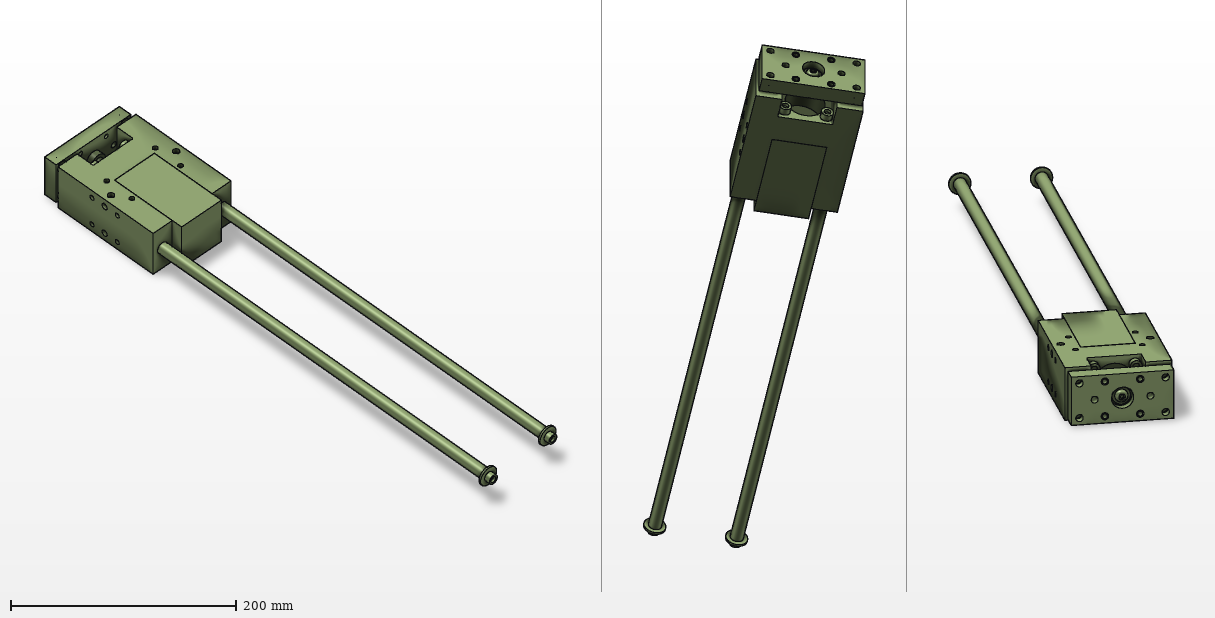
import cadquery as cq
import math

FULL_TURN = 360

OVERALL_LENGTH = 559.0

HOUSING_START = 19.0
HOUSING_LENGTH = 120.5
HOUSING_WIDTH = 97.0
HOUSING_HEIGHT = 50.0
HOUSING_END = HOUSING_START + HOUSING_LENGTH

BLOCK_LENGTH = 85.0
BLOCK_WIDTH = 49.5
BLOCK_HEIGHT = 50.5
BLOCK_OVERHANG = 12.0
BLOCK_END = HOUSING_END + BLOCK_OVERHANG
PORT_DIAMETER = 4.5
PORT_DEPTH = 4.0
PORT_OFFSET = 1.0
PORT_X = HOUSING_END + PORT_OFFSET
PORT_Z = -20.5

RECESS_DEPTH = 20.5
RECESS_WIDTH = BLOCK_WIDTH
RECESS_FILLET = 1.0
RECESS_FLOOR = HOUSING_START + RECESS_DEPTH
PISTON_BORE = 36.0
PISTON_BORE_DEPTH = 20.0

SCREW_HEAD_DIAMETER = 11.0
SCREW_HEAD_HEIGHT = 6.5
SCREW_SOCKET_DIAMETER = 6.0
SCREW_SOCKET_DEPTH = 3.0
SCREW_Y = 19.0
SCREW_Z = 16.0

HOLES_X = 78.0
HOLE_PITCH = 16.0
HOLE_DEPTH = 5.0
THREAD_DIAMETER = 5.0
DOWEL_DIAMETER = 6.5
TOP_DOWEL_Y = 40.5
TOP_THREAD_Y = 30.25
SIDE_HOLE_Z = 16.25

PLATE_THICKNESS = 14.5
PLATE_WIDTH = 93.0
PLATE_HEIGHT = 46.0
CORNER_HOLE_DIAMETER = 6.6
CORNER_COUNTERBORE_DIAMETER = 11.0
CORNER_COUNTERBORE_DEPTH = 7.0
CORNER_HOLE_Y = 39.0
INNER_HOLE_DIAMETER = 4.5
INNER_COUNTERBORE_DIAMETER = 6.6
INNER_COUNTERBORE_DEPTH = 0.5
INNER_HOLE_Y = 16.0
PLATE_HOLE_Z = 16.5
PIN_HOLE_DIAMETER = 6.2
PIN_HOLE_Y = 25.25
PLATE_BORE_DIAMETER = 20.0
PLATE_BORE_DEPTH = 7.5

COLLAR_DIAMETER = 17.0
COLLAR_LENGTH = 6.5
STUD_DIAMETER = 10.0
STUD_LENGTH = 8.0
COUPLING_WASHER_DIAMETER = 17.0
COUPLING_WASHER_THICKNESS = 1.5
BUTTON_HEAD_DIAMETER = 12.0
BUTTON_HEAD_HEIGHT = 4.0
BUTTON_TOP_DIAMETER = 6.0
HEXAGON_SIDES = 6
BUTTON_SOCKET_DIAMETER = 4.0
BUTTON_SOCKET_DEPTH = 2.5

ROD_DIAMETER = 12.0
ROD_Y = 37.0
WASHER_DIAMETER = 20.0
WASHER_THICKNESS = 2.0
END_SCREW_DIAMETER = 10.0
END_SCREW_HEIGHT = 6.0
END_SOCKET_DIAMETER = 6.0
END_SOCKET_DEPTH = 3.0
WASHER_END = OVERALL_LENGTH - END_SCREW_HEIGHT
ROD_END = WASHER_END - WASHER_THICKNESS


def box(x_start, length, width, z_bottom, height):
    """Block centred on Y that starts at x_start and stands on z_bottom."""
    return cq.Workplane(origin=(x_start, 0, z_bottom)).box(
        length, width, height, centered=(False, True, False)
    )


def cylinders_along_x(x_start, length, diameter, points):
    """Cylinders pointing to +X at the given (Y, Z) points."""
    return cq.Workplane("YZ", origin=(x_start, 0, 0)).pushPoints(points).circle(diameter / 2).extrude(length)


def four_points(y, z):
    """(Y, Z) points mirrored about both symmetry planes."""
    return [(side * y, level * z) for side in (-1, 1) for level in (-1, 1)]


def top_holes(diameter, points):
    """Blind holes drilled down from the housing top at (X, Y) points."""
    return (
        cq.Workplane(origin=(0, 0, HOUSING_HEIGHT / 2))
        .pushPoints(points)
        .circle(diameter / 2)
        .extrude(-HOLE_DEPTH)
    )


def side_holes(diameter, points):
    """Matching holes drilled into both sides of the housing at (X, Z) points."""
    near = (
        cq.Workplane("XZ", origin=(0, -HOUSING_WIDTH / 2, 0))
        .pushPoints(points)
        .circle(diameter / 2)
        .extrude(-HOLE_DEPTH)
    )
    return near.union(near.mirror("XZ"))


def make_housing():
    z_bottom = -HOUSING_HEIGHT / 2
    recess = (
        box(HOUSING_START, RECESS_DEPTH, RECESS_WIDTH, z_bottom, HOUSING_HEIGHT)
        .edges("|Z and >X")
        .fillet(RECESS_FILLET)
    )
    housing = box(HOUSING_START, HOUSING_LENGTH, HOUSING_WIDTH, z_bottom, HOUSING_HEIGHT).cut(recess)

    block = box(BLOCK_END - BLOCK_LENGTH, BLOCK_LENGTH, BLOCK_WIDTH, -BLOCK_HEIGHT / 2, BLOCK_HEIGHT)
    port = (
        cq.Workplane("XZ", origin=(PORT_X, -BLOCK_WIDTH / 2, PORT_Z))
        .circle(PORT_DIAMETER / 2)
        .extrude(-PORT_DEPTH)
    )
    housing = housing.union(block).cut(port)
    housing = housing.cut(cylinders_along_x(RECESS_FLOOR, PISTON_BORE_DEPTH, PISTON_BORE, [(0, 0)]))

    screw_points = four_points(SCREW_Y, SCREW_Z)
    head_start = RECESS_FLOOR - SCREW_HEAD_HEIGHT
    heads = cylinders_along_x(head_start, SCREW_HEAD_HEIGHT, SCREW_HEAD_DIAMETER, screw_points)
    sockets = cylinders_along_x(head_start, SCREW_SOCKET_DEPTH, SCREW_SOCKET_DIAMETER, screw_points)
    housing = housing.union(heads).cut(sockets)

    outer_x = (HOLES_X - HOLE_PITCH, HOLES_X + HOLE_PITCH)
    side_threads = [(x, level * SIDE_HOLE_Z) for x in outer_x for level in (-1, 1)]
    side_dowels = [(HOLES_X, level * SIDE_HOLE_Z) for level in (-1, 1)]
    top_threads = [(x, side * TOP_THREAD_Y) for x in outer_x for side in (-1, 1)]
    top_dowels = [(HOLES_X, side * TOP_DOWEL_Y) for side in (-1, 1)]
    housing = housing.cut(side_holes(THREAD_DIAMETER, side_threads))
    housing = housing.cut(side_holes(DOWEL_DIAMETER, side_dowels))
    housing = housing.cut(top_holes(THREAD_DIAMETER, top_threads))
    housing = housing.cut(top_holes(DOWEL_DIAMETER, top_dowels))

    rod_bores = cylinders_along_x(HOUSING_START, HOUSING_LENGTH, ROD_DIAMETER, [(-ROD_Y, 0), (ROD_Y, 0)])
    return housing.cut(rod_bores)


def make_button_head(seat_x):
    """Domed screw head standing on its seat and pointing to -X, with a hexagon socket in its top."""
    top_x = seat_x - BUTTON_HEAD_HEIGHT
    base_radius = BUTTON_HEAD_DIAMETER / 2
    top_radius = BUTTON_TOP_DIAMETER / 2
    middle_radius = top_radius + (base_radius - top_radius) * math.cos(math.pi / 4)
    middle_x = seat_x - BUTTON_HEAD_HEIGHT * math.sin(math.pi / 4)
    head = (
        cq.Workplane("XY")
        .moveTo(seat_x, 0)
        .lineTo(seat_x, base_radius)
        .threePointArc((middle_x, middle_radius), (top_x, top_radius))
        .lineTo(top_x, 0)
        .close()
        .revolve(FULL_TURN, (0, 0, 0), (1, 0, 0))
    )
    socket = (
        cq.Workplane("YZ", origin=(top_x, 0, 0))
        .polygon(HEXAGON_SIDES, BUTTON_SOCKET_DIAMETER)
        .extrude(BUTTON_SOCKET_DEPTH)
    )
    return head.cut(socket)


def make_slide():
    slide = box(0, PLATE_THICKNESS, PLATE_WIDTH, -PLATE_HEIGHT / 2, PLATE_HEIGHT)
    corners = four_points(CORNER_HOLE_Y, PLATE_HOLE_Z)
    inner_points = four_points(INNER_HOLE_Y, PLATE_HOLE_Z)
    hole_groups = (
        (CORNER_HOLE_DIAMETER, corners),
        (INNER_HOLE_DIAMETER, inner_points),
        (PIN_HOLE_DIAMETER, [(-PIN_HOLE_Y, 0), (PIN_HOLE_Y, 0)]),
    )
    for diameter, points in hole_groups:
        slide = slide.cut(cylinders_along_x(0, PLATE_THICKNESS, diameter, points))

    counterbore_start = PLATE_THICKNESS - CORNER_COUNTERBORE_DEPTH
    slide = slide.cut(
        cylinders_along_x(counterbore_start, CORNER_COUNTERBORE_DEPTH, CORNER_COUNTERBORE_DIAMETER, corners)
    )
    slide = slide.cut(cylinders_along_x(0, INNER_COUNTERBORE_DEPTH, INNER_COUNTERBORE_DIAMETER, inner_points))

    centre = [(0, 0)]
    slide = slide.cut(cylinders_along_x(0, PLATE_BORE_DEPTH, PLATE_BORE_DIAMETER, centre))
    slide = slide.union(cylinders_along_x(PLATE_THICKNESS, COLLAR_LENGTH, COLLAR_DIAMETER, centre))
    stud_start = PLATE_THICKNESS + COLLAR_LENGTH
    slide = slide.union(cylinders_along_x(stud_start, STUD_LENGTH, STUD_DIAMETER, centre))
    washer_start = PLATE_BORE_DEPTH - COUPLING_WASHER_THICKNESS
    slide = slide.union(
        cylinders_along_x(washer_start, COUPLING_WASHER_THICKNESS, COUPLING_WASHER_DIAMETER, centre)
    )
    slide = slide.union(make_button_head(washer_start))

    rods = [(-ROD_Y, 0), (ROD_Y, 0)]
    slide = slide.union(cylinders_along_x(PLATE_THICKNESS, ROD_END - PLATE_THICKNESS, ROD_DIAMETER, rods))
    slide = slide.union(cylinders_along_x(ROD_END, WASHER_THICKNESS, WASHER_DIAMETER, rods))
    slide = slide.union(cylinders_along_x(WASHER_END, END_SCREW_HEIGHT, END_SCREW_DIAMETER, rods))
    end_socket_start = OVERALL_LENGTH - END_SOCKET_DEPTH
    return slide.cut(cylinders_along_x(end_socket_start, END_SOCKET_DEPTH, END_SOCKET_DIAMETER, rods))


housing = make_housing()
slide = make_slide()
result = cq.Compound.makeCompound([housing.val(), slide.val()])